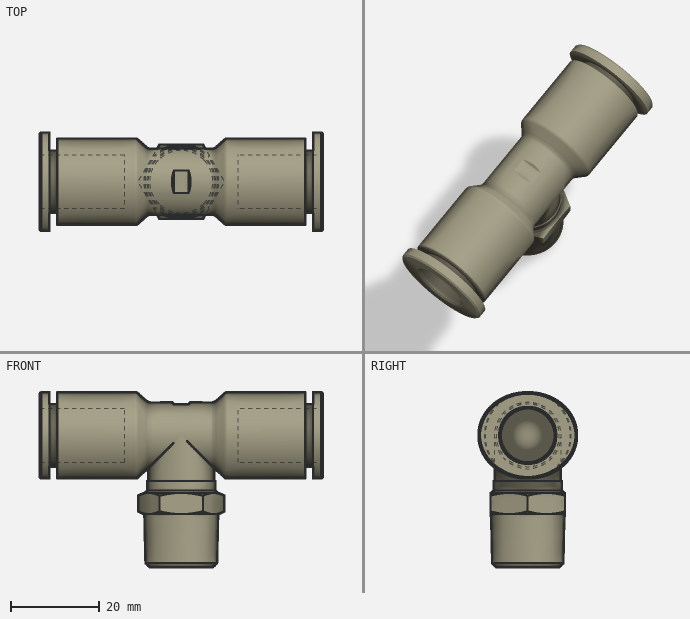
import cadquery as cq
import math

run_length = 64.4
stem_bottom = -30.0

collar_width = 22.5
collar_height = 19.7
collar_thickness = 2.25
collar_edge_chamfer = 0.4
neck_radius = 7.15
neck_length = 1.7

socket_radius = collar_height / 2
socket_edge_chamfer = 0.2
socket_inner_x = 10.2
core_radius = 7.55
core_outer_x = 7.55
core_blend_radius = 1.15
socket_blend_radius = 0.85

bore_radius = 6.1
bore_mouth_chamfer = 0.4
bore_depth = 19.3

recess_depth = 0.45
recess_floor_length = 3.2
recess_top_length = 4.25

shoulder_radius = 7.8
shoulder_top = -10.4
shoulder_bottom = -12.55
hex_top = -13.1
hex_bottom = -17.9
hex_across_flats = 17.0
hex_chamfer_angle = 25.0
thread_top_radius = 8.45
thread_bottom_radius = 8.2
thread_chamfer = 1.0

half_run = run_length / 2
collar_inner_x = half_run - collar_thickness
socket_outer_x = collar_inner_x - neck_length
hex_corner_radius = hex_across_flats / math.sqrt(3)
hex_height = hex_top - hex_bottom


def ring_at(x):
    """Selector for the circular edges centred on the run axis at x."""
    tolerance = 0.03
    low_corner = (x - tolerance, -tolerance, -tolerance)
    high_corner = (x + tolerance, tolerance, tolerance)
    return cq.selectors.BoxSelector(low_corner, high_corner)


def make_run_half():
    """Core, socket and neck on the +X side, turned about X, with a blended cone between core and socket."""
    sharp = (
        cq.Workplane("XY")
        .lineTo(0, core_radius)
        .lineTo(core_outer_x, core_radius)
        .lineTo(socket_inner_x, socket_radius)
        .lineTo(socket_outer_x - socket_edge_chamfer, socket_radius)
        .lineTo(socket_outer_x, socket_radius - socket_edge_chamfer)
        .lineTo(socket_outer_x, neck_radius)
        .lineTo(collar_inner_x, neck_radius)
        .lineTo(collar_inner_x, 0)
        .close()
        .revolve(360, (0, 0, 0), (1, 0, 0))
    )
    blended_core = sharp.edges(ring_at(core_outer_x)).fillet(core_blend_radius)
    return blended_core.edges(ring_at(socket_inner_x)).fillet(socket_blend_radius)


def make_collar():
    """Elliptical collar on the +X end with a chamfered outer edge."""
    return (
        cq.Workplane("YZ", origin=(collar_inner_x, 0, 0))
        .ellipse(collar_width / 2, collar_height / 2)
        .extrude(collar_thickness)
        .faces(">X")
        .chamfer(collar_edge_chamfer)
    )


def make_bore():
    """Blind tube bore from the +X end with a chamfered mouth."""
    mouth_radius = bore_radius + bore_mouth_chamfer
    return (
        cq.Workplane("XY")
        .moveTo(half_run, 0)
        .lineTo(half_run, mouth_radius)
        .lineTo(half_run - bore_mouth_chamfer, bore_radius)
        .lineTo(half_run - bore_depth, bore_radius)
        .lineTo(half_run - bore_depth, 0)
        .close()
        .revolve(360, (0, 0, 0), (1, 0, 0))
    )


def make_stem():
    """Branch, shoulder and tapered thread, turned about Z."""
    chamfer_top = stem_bottom + thread_chamfer
    shoulder_flare = shoulder_bottom - hex_top
    return (
        cq.Workplane("XZ")
        .lineTo(core_radius, 0)
        .lineTo(core_radius, shoulder_top)
        .lineTo(shoulder_radius, shoulder_top)
        .lineTo(shoulder_radius, shoulder_bottom)
        .lineTo(shoulder_radius + shoulder_flare, hex_top)
        .lineTo(thread_top_radius, hex_bottom)
        .lineTo(thread_bottom_radius, chamfer_top)
        .lineTo(thread_bottom_radius - thread_chamfer, stem_bottom)
        .lineTo(0, stem_bottom)
        .close()
        .revolve(360, (0, 0, 0), (0, 1, 0))
    )


def make_hexagon():
    """Hexagon with corners on X, its corners turned down at both ends."""
    flat_radius = hex_across_flats / 2
    corner_drop = (hex_corner_radius - flat_radius) * math.tan(math.radians(hex_chamfer_angle))
    prism = (
        cq.Workplane("XY", origin=(0, 0, hex_bottom))
        .polygon(6, 2 * hex_corner_radius)
        .extrude(hex_height)
    )
    envelope = (
        cq.Workplane("XZ")
        .moveTo(0, hex_top)
        .lineTo(flat_radius, hex_top)
        .lineTo(hex_corner_radius, hex_top - corner_drop)
        .lineTo(hex_corner_radius, hex_bottom + corner_drop)
        .lineTo(flat_radius, hex_bottom)
        .lineTo(0, hex_bottom)
        .close()
        .revolve(360, (0, 0, 0), (0, 1, 0))
    )
    return prism.intersect(envelope)


def make_recess():
    """Flat-floored recess with sloping ends across the top of the core."""
    return (
        cq.Workplane("XZ")
        .moveTo(-recess_top_length / 2, core_radius)
        .lineTo(-recess_floor_length / 2, core_radius - recess_depth)
        .lineTo(recess_floor_length / 2, core_radius - recess_depth)
        .lineTo(recess_top_length / 2, core_radius)
        .close()
        .extrude(core_radius, both=True)
    )


run_half = make_run_half().union(make_collar()).cut(make_bore())
run = run_half.union(run_half.mirror("YZ"))
result = run.union(make_stem()).union(make_hexagon()).cut(make_recess())